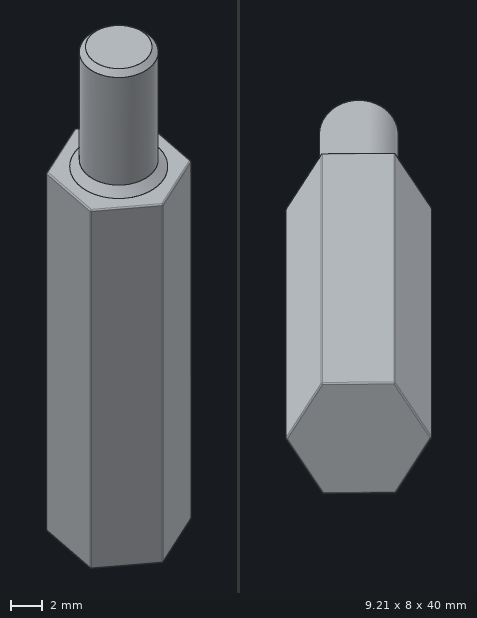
import cadquery as cq
import math

total_length = 40.0
body_length = 30.0
across_flats = 8.0
edge_round = 0.1
stud_diameter = 5.0
stud_chamfer = 0.4
collar_diameter = 6.2
collar_height = 0.6

across_corners = across_flats / math.cos(math.pi / 6)
stud_radius = stud_diameter / 2
collar_radius = collar_diameter / 2


def make_body():
    """Hexagonal body with corners along X and every edge slightly rounded."""
    body = cq.Workplane("XY").polygon(6, across_corners).extrude(body_length)
    return body.edges().fillet(edge_round)


def make_stud():
    """Round stud with a conical collar at its foot and a chamfered tip."""
    profile = [
        (0, 0),
        (collar_radius, 0),
        (collar_radius, body_length),
        (stud_radius, body_length + collar_height),
        (stud_radius, total_length - stud_chamfer),
        (stud_radius - stud_chamfer, total_length),
        (0, total_length),
    ]
    return cq.Workplane("XZ").polyline(profile).close().revolve(360, (0, 0), (0, 1))


result = make_body().union(make_stud())